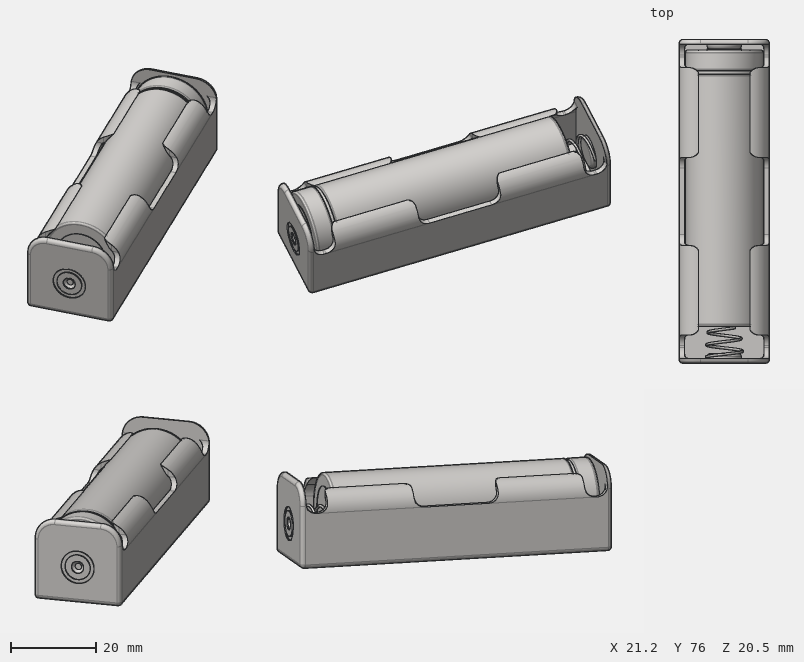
import cadquery as cq
import math


holder_width = 21.2
holder_length = 76.0
plate_height = 20.0
shell_height = 18.2
corner_radius = 5.0
edge_round = 1.0
plate_thickness = 1.2

wall_thickness = 1.3

window_floor = shell_height - corner_radius
window_round = 2.5
end_window_length = 5.45
middle_window_length = 20.6
lip_round = 2.6
lip_inner_x = 5.6

sleeve_radius = 18.3 / 2
sleeve_thickness = 0.15
cell_length = 64.85
cell_round = 0.5
groove_floor_radius = 17.6 / 2
groove_width = 0.72
groove_round = 0.3
groove_from_end = 4.88
terminal_opening = 12.0
cell_top = 20.46
cell_axis_z = cell_top - sleeve_radius
button_diameter = 8.0
button_height = 0.25

contact_z = 8.9
head_diameter = 8.0
head_thickness = 1.1
head_round = 0.7
shank_diameter = 3.0
dimple_diameter = 2.93
dimple_floor_diameter = 1.54
dimple_depth = 0.7

cell_y_max = holder_length / 2 - plate_thickness - head_thickness - button_height
cell_y_min = cell_y_max - cell_length

recess_diameter = 8.0
recess_depth = 0.3
washer_diameter = 6.12

wire_diameter = 0.6
head_clearance = 0.05
spring_pitch = 2.95
spring_base_radius = head_diameter / 2 + wire_diameter / 2 + head_clearance
spring_start_angle = 198
spring_taper = 0.1
end_clearance = 0.06


def cylinder_along_y(diameter, y_start, length, z):
    """Cylinder running from y_start towards +Y, on the X = 0 plane at height z."""
    plane = cq.Plane(origin=(0, y_start, z), xDir=(1, 0, 0), normal=(0, 1, 0))
    return cq.Workplane(plane).circle(diameter / 2).extrude(length)


def round_topped_bar(width, length, height, radius):
    """Bar along Y standing on Z = 0, with rounded upper corners."""
    bar = cq.Workplane("XY").box(width, length, height, centered=(True, True, False))
    return bar.edges("|Y and >Z").fillet(radius)


def holder_bar(length, height):
    """Full-width bar with the outline of the holder and softened lower edges."""
    bar = round_topped_bar(holder_width, length, height, corner_radius)
    return bar.faces("<Z").edges("|Y").fillet(edge_round)


def window(y_min, y_max):
    """Cutter across the whole width, with rounded lower corners."""
    cutter = cq.Workplane("XY").box(
        2 * holder_width, y_max - y_min, plate_height, centered=(True, False, False)
    )
    return cutter.edges("|X and <Z").fillet(window_round).translate((0, y_min, window_floor))


def lip_blank(y_min, y_max):
    """Two facing blocks whose plan outline the lips keep."""
    reach = holder_width / 2 - lip_inner_x
    lip = cq.Workplane("XY").box(
        reach, y_max - y_min, plate_height, centered=(False, False, False)
    )
    lip = lip.edges("|Z and <X").fillet(lip_round).translate((lip_inner_x, y_min, window_floor))
    return lip.union(lip.mirror("YZ"))


def build_holder():
    """Open-topped tray with gripping lips along both sides and a plate at each end."""
    inner_end = holder_length / 2 - plate_thickness
    lip_outer_y = inner_end - end_window_length
    lip_inner_y = middle_window_length / 2

    shell_end = inner_end - window_round
    plates = holder_bar(holder_length, plate_height)
    plates = plates.faces("<Y or >Y").edges().fillet(edge_round)
    between = cq.Workplane("XY").box(
        2 * holder_width, 2 * shell_end, plate_height, centered=(True, True, False)
    )
    body = plates.cut(between).union(holder_bar(2 * shell_end, shell_height))

    bay_floor = cell_axis_z - sleeve_radius
    bay = round_topped_bar(
        holder_width - 2 * wall_thickness,
        2 * inner_end,
        shell_height - wall_thickness - bay_floor,
        corner_radius - wall_thickness,
    )
    bore = cylinder_along_y(2 * sleeve_radius, -inner_end, 2 * inner_end, cell_axis_z)
    body = body.cut(bay.translate((0, 0, bay_floor))).cut(bore)

    body = body.cut(window(-inner_end, -lip_outer_y))
    body = body.cut(window(-lip_inner_y, lip_inner_y))
    body = body.cut(window(lip_outer_y, inner_end))
    for y_min, y_max in ((-lip_outer_y, -lip_inner_y), (lip_inner_y, lip_outer_y)):
        trim = cq.Workplane("XY").box(
            2 * (lip_inner_x + lip_round), y_max - y_min, plate_height, centered=(True, False, False)
        )
        trim = trim.translate((0, y_min, window_floor)).cut(lip_blank(y_min, y_max))
        body = body.cut(trim)

    body = body.cut(cylinder_along_y(shank_diameter, -holder_length, 2 * holder_length, contact_z))
    for y_start in (-holder_length / 2, holder_length / 2 - recess_depth):
        body = body.cut(cylinder_along_y(recess_diameter, y_start, recess_depth, contact_z))
    return body


def cell_shape(inset):
    """Grooved cell outline, moved inwards by inset on every surface."""
    length = cell_length - 2 * inset
    shape = cylinder_along_y(2 * (sleeve_radius - inset), cell_y_min + inset, length, cell_axis_z)
    shape = shape.faces("<Y or >Y").edges().fillet(cell_round)
    width = groove_width + 2 * inset
    groove_start = cell_y_max - groove_from_end - groove_width - inset
    ring = cylinder_along_y(2 * holder_width, groove_start, width, cell_axis_z)
    ring = ring.cut(cylinder_along_y(2 * (groove_floor_radius - inset), groove_start, width, cell_axis_z))
    shape = shape.cut(ring)
    around_groove = cq.selectors.BoxSelector(
        (-holder_width, groove_start - width, -holder_width),
        (holder_width, groove_start + 2 * width, 2 * holder_width),
    )
    rims = shape.edges(around_groove).edges(cq.selectors.RadiusNthSelector(-1))
    return rims.fillet(groove_round)


def build_can():
    """Bare cell with its +Y button."""
    can_end = cell_y_max - sleeve_thickness
    button = cylinder_along_y(
        button_diameter, can_end, sleeve_thickness + button_height, cell_axis_z
    )
    return cell_shape(sleeve_thickness).union(button)


def build_sleeve(can):
    """Thin sleeve that follows the can and leaves both terminals bare."""
    sleeve = cell_shape(0).cut(can)
    return sleeve.cut(cylinder_along_y(terminal_opening, -holder_length, 2 * holder_length, cell_axis_z))


def build_contact():
    """Contact of the -Y plate: inner head, shank and a tapered dimple in the shank's end."""
    outer_y = -holder_length / 2
    inner_y = outer_y + plate_thickness
    head = cylinder_along_y(head_diameter, inner_y, head_thickness, contact_z)
    head = head.faces(">Y").edges().fillet(head_round)
    contact = head.union(cylinder_along_y(shank_diameter, outer_y, plate_thickness, contact_z))
    dimple = cq.Solid.makeCone(
        dimple_diameter / 2, dimple_floor_diameter / 2, dimple_depth,
        cq.Vector(0, outer_y, contact_z), cq.Vector(0, 1, 0),
    )
    return contact.cut(cq.Workplane(dimple))


def build_washer():
    """Washer around the -Y contact, flush in the recess of the plate."""
    outer_y = -holder_length / 2
    washer = cylinder_along_y(washer_diameter, outer_y, recess_depth, contact_z)
    return washer.cut(cylinder_along_y(shank_diameter, outer_y, recess_depth, contact_z))


def build_spring():
    """Tapered compression spring from the -Y plate to the bare end of the can."""
    start_y = -holder_length / 2 + plate_thickness + wire_diameter / 2 + end_clearance
    end_y = cell_y_min + sleeve_thickness - wire_diameter / 2 - end_clearance
    height = end_y - start_y
    path = cq.Wire.makeHelix(
        spring_pitch, height, spring_base_radius, angle=-math.degrees(math.atan(spring_taper))
    )
    section = cq.Workplane("XZ", origin=(spring_base_radius, 0, 0)).circle(wire_diameter / 2)
    coil = section.sweep(cq.Workplane(path), isFrenet=True)
    coil = coil.rotate((0, 0, 0), (0, 0, 1), spring_start_angle)
    return coil.rotate((0, 0, 0), (1, 0, 0), -90).translate((0, start_y, contact_z))


holder = build_holder()
can = build_can()
sleeve = build_sleeve(can)
spring = build_spring()

contact = build_contact()
washer = build_washer()

bodies = [holder, can, sleeve, spring]
for fitting in (contact, washer):
    bodies += [fitting, fitting.mirror("XZ")]

result = cq.Compound.makeCompound([body.solids().val() for body in bodies])